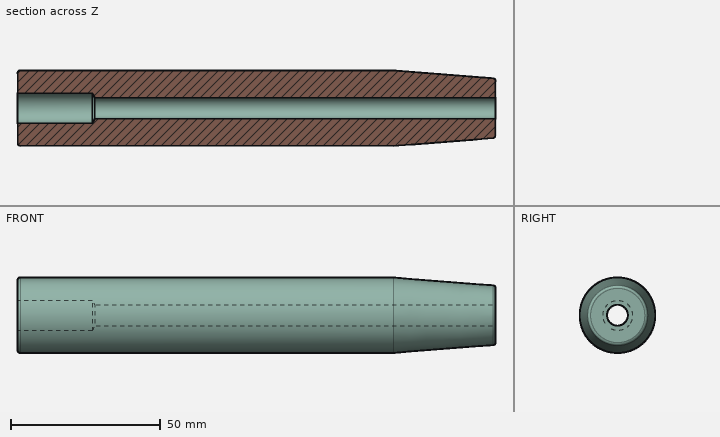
import cadquery as cq
import math

length = 160.0
shank_diameter = 25.4
end_fillet = 1.0

nose_length = 34.3
nose_tip_diameter = 20.0

bore_diameter = 6.92
drill_diameter = 10.0
drill_depth = 25.0
drill_point_angle = 118.0

rear_x = -length / 2
tip_x = length / 2
nose_start_x = tip_x - nose_length
shank_radius = shank_diameter / 2
nose_tip_radius = nose_tip_diameter / 2
bore_radius = bore_diameter / 2
drill_radius = drill_diameter / 2
cone_start_x = rear_x + drill_depth
cone_length = (drill_radius - bore_radius) / math.tan(math.radians(drill_point_angle / 2))


def revolve_about_x(half_profile):
    """Solid of revolution about X from (x, radius) corner points."""
    sketch = cq.Workplane("XY").polyline(half_profile).close()
    return sketch.revolve(360, (0, 0, 0), (1, 0, 0))


def make_body():
    """Round shank with a conical nose, both end edges rounded."""
    half_profile = [
        (rear_x, 0),
        (rear_x, shank_radius),
        (nose_start_x, shank_radius),
        (tip_x, nose_tip_radius),
        (tip_x, 0),
    ]
    body = revolve_about_x(half_profile)
    return body.faces("<X or >X").edges().fillet(end_fillet)


def make_bore():
    """Stepped hole: wide drilled part, drill-point cone, then the narrow bore."""
    half_profile = [
        (rear_x, 0),
        (rear_x, drill_radius),
        (cone_start_x, drill_radius),
        (cone_start_x + cone_length, bore_radius),
        (tip_x, bore_radius),
        (tip_x, 0),
    ]
    return revolve_about_x(half_profile)


result = make_body().cut(make_bore())